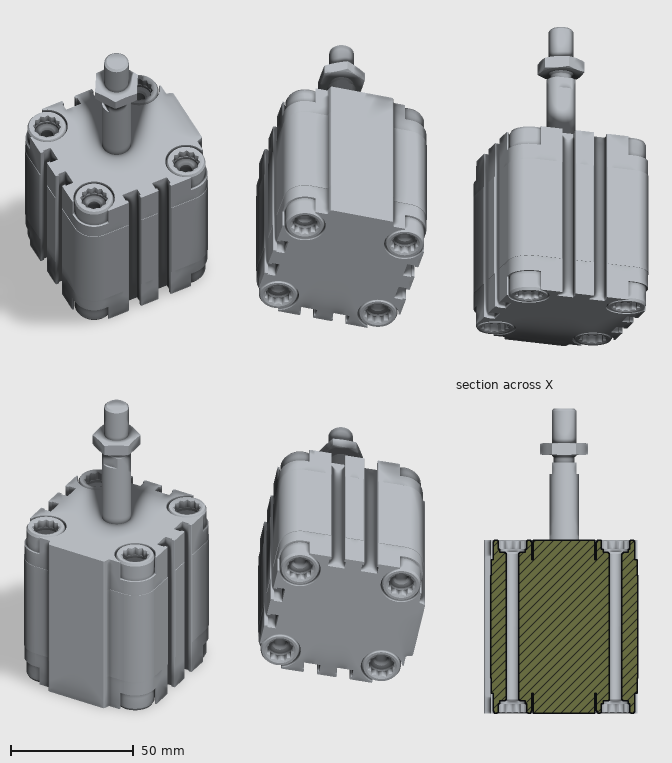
import cadquery as cq
import math


width = 60.0
half_width = width / 2
housing_height = 70.5
cap_height = 14.4
cap_inset = 0.2
screw_pitch = 42.0
corner_radius = half_width - screw_pitch / 2

pad_height = 2.5
pad_top_half_width = 13.1
pad_base_half_width = 13.9
pad_edge_round = 0.8
pad_base_round = 0.6

slot_offset = 6.8
slot_depth = 5.0
slot_width = 6.8
lip_thickness = 1.65
throat_width = 5.5
mouth_width = 6.3
mouth_chamfer = (mouth_width - throat_width) / 2

recess_depth = 8.0
recess_radius = 8.42
recess_opening = 2.15
head_radius = 7.95
head_chamfer_width = 0.6
head_chamfer_height = 1.1
socket_rim_radius = 6.3
socket_point_radius = 5.75
socket_valley_radius = 5.05
socket_points = 12
socket_lead_in = 0.6
socket_spline_depth = 3.7
socket_depth = 4.9
thread_hole_diameter = 4.92
thread_countersink_diameter = 6.4

rod_radius = 6.0
rod_shoulder_z = 102.0
rod_flat_width = 10.0
rod_flat_length = 4.7
neck_radius = 4.325
thread_radius = 5.0
thread_start_z = 104.8
thread_run_out = 0.65
rod_tip_chamfer = 0.85
rod_end_z = 124.0
rod_bottom_z = housing_height - cap_height

nut_across_flats = 17.0
nut_bottom_z = 105.0
nut_height = 5.0
nut_face_diameter = 16.7
nut_chamfer_angle = 15.0


def outline(inset, height):
    """Block with rounded corners and the +Y pad, its plain sides moved in by `inset`."""
    side = width - 2 * inset
    block = (
        cq.Workplane("XY")
        .rect(side, side)
        .extrude(height)
        .edges("|Z")
        .fillet(corner_radius - inset)
    )
    pad = (
        cq.Workplane("XY")
        .moveTo(-pad_base_half_width, 0)
        .lineTo(-pad_base_half_width, half_width - inset)
        .lineTo(-pad_top_half_width, half_width + pad_height)
        .lineTo(pad_top_half_width, half_width + pad_height)
        .lineTo(pad_base_half_width, half_width - inset)
        .lineTo(pad_base_half_width, 0)
        .close()
        .extrude(height)
        .edges("|Z and >Y")
        .fillet(pad_edge_round)
    )
    base_y = half_width - inset
    base_edges = cq.selectors.BoxSelector(
        (-pad_base_half_width - pad_base_round, base_y - pad_base_round, 0),
        (pad_base_half_width + pad_base_round, base_y + pad_base_round, height),
    )
    return block.union(pad).edges("|Z").edges(base_edges).fillet(pad_base_round)


def slot_cutter():
    """Undercut slot in the -Y side, centred on X = 0, with a bevelled mouth."""
    face = -half_width
    lip = face + lip_thickness
    floor = face + slot_depth
    half_profile = [
        (mouth_width / 2, face),
        (throat_width / 2, face + mouth_chamfer),
        (throat_width / 2, lip),
        (slot_width / 2, lip),
        (slot_width / 2, floor),
    ]
    mirrored = [(-x, y) for x, y in reversed(half_profile)]
    return cq.Workplane("XY").polyline(half_profile + mirrored).close().extrude(housing_height)


def recess_cutter():
    """Round recess around the screw axis, open to the outer corner on the -X -Y side."""
    bottom = housing_height - recess_depth
    reach = half_width
    center = (recess_opening - reach) / 2
    round_part = cq.Workplane("XY", origin=(0, 0, bottom)).circle(recess_radius).extrude(recess_depth)
    corner_part = (
        cq.Workplane("XY", origin=(center, center, bottom))
        .rect(reach + recess_opening, reach + recess_opening)
        .extrude(recess_depth)
    )
    return round_part.union(corner_part)


def screw_head():
    """Solid screw head with a bevelled top edge, on the Z axis."""
    bottom = housing_height - recess_depth
    return (
        cq.Workplane("XZ")
        .moveTo(0, bottom)
        .lineTo(head_radius, bottom)
        .lineTo(head_radius, housing_height - head_chamfer_height)
        .lineTo(head_radius - head_chamfer_width, housing_height)
        .lineTo(0, housing_height)
        .close()
        .revolve(360, (0, 0, 0), (0, 1, 0))
    )


def socket_cutter():
    """Twelve-point socket with a conical lead-in and a countersunk thread hole at its floor."""
    floor = housing_height - socket_depth
    countersink = (thread_countersink_diameter - thread_hole_diameter) / 2
    hole_radius = thread_hole_diameter / 2
    bore = (
        cq.Workplane("XZ")
        .moveTo(0, housing_height)
        .lineTo(socket_rim_radius, housing_height)
        .lineTo(socket_valley_radius, housing_height - socket_lead_in)
        .lineTo(socket_valley_radius, floor)
        .lineTo(hole_radius + countersink, floor)
        .lineTo(hole_radius, floor - countersink)
        .lineTo(hole_radius, housing_height / 2)
        .lineTo(0, housing_height / 2)
        .close()
        .revolve(360, (0, 0, 0), (0, 1, 0))
    )
    star = []
    for i in range(2 * socket_points):
        radius = socket_point_radius if i % 2 == 0 else socket_valley_radius
        angle = math.pi * i / socket_points
        star.append((radius * math.cos(angle), radius * math.sin(angle)))
    spline = (
        cq.Workplane("XY", origin=(0, 0, housing_height - socket_spline_depth))
        .polyline(star)
        .close()
        .extrude(socket_spline_depth)
    )
    return bore.union(spline)


def at_corners(shape):
    """Copies of a top -X -Y corner shape at the four corners of both ends."""
    corner = shape.translate((-screw_pitch / 2, -screw_pitch / 2, 0))
    copies = []
    for quarter in range(4):
        top = corner.rotate((0, 0, 0), (0, 0, 1), 90 * quarter)
        bottom = top.mirror("XY", (0, 0, housing_height / 2))
        copies += [top, bottom]
    return copies


def make_housing():
    body = outline(cap_inset, housing_height)
    barrel = outline(0, housing_height - 2 * cap_height).translate((0, 0, cap_height))
    body = body.union(barrel)
    for side_angle in (0, 90, -90):
        for offset in (-slot_offset, slot_offset):
            slot = slot_cutter().translate((offset, 0, 0))
            body = body.cut(slot.rotate((0, 0, 0), (0, 0, 1), side_angle))
    for recess in at_corners(recess_cutter()):
        body = body.cut(recess)
    for head in at_corners(screw_head()):
        body = body.union(head)
    for socket in at_corners(socket_cutter()):
        body = body.cut(socket)
    rod_hole = (
        cq.Workplane("XY", origin=(0, 0, rod_bottom_z))
        .circle(rod_radius)
        .extrude(housing_height - rod_bottom_z)
    )
    return body.cut(rod_hole)


def make_rod():
    """Rod with a threaded end, an undercut neck and two wrench flats."""
    rod = (
        cq.Workplane("XZ")
        .moveTo(0, rod_bottom_z)
        .lineTo(rod_radius, rod_bottom_z)
        .lineTo(rod_radius, rod_shoulder_z)
        .lineTo(neck_radius, rod_shoulder_z)
        .lineTo(neck_radius, thread_start_z - thread_run_out)
        .lineTo(thread_radius, thread_start_z)
        .lineTo(thread_radius, rod_end_z - rod_tip_chamfer)
        .lineTo(thread_radius - rod_tip_chamfer, rod_end_z)
        .lineTo(0, rod_end_z)
        .close()
        .revolve(360, (0, 0, 0), (0, 1, 0))
    )
    for side in (-1, 1):
        flat = cq.Workplane("XY").box(2 * rod_radius, rod_radius, rod_flat_length)
        flat_y = side * (rod_flat_width + rod_radius) / 2
        rod = rod.cut(flat.translate((0, flat_y, rod_shoulder_z - rod_flat_length / 2)))
    return rod


def make_nut():
    """Hexagon nut with corners on the Y axis and bevelled corners on both faces."""
    corner_diameter = nut_across_flats / math.cos(math.pi / 6)
    circumradius = corner_diameter / 2
    face_radius = nut_face_diameter / 2
    bevel = (circumradius - face_radius) * math.tan(math.radians(nut_chamfer_angle))
    hexagon = (
        cq.Workplane("XY")
        .polygon(6, corner_diameter)
        .extrude(nut_height)
        .rotate((0, 0, 0), (0, 0, 1), 90)
    )
    envelope = (
        cq.Workplane("XZ")
        .moveTo(0, 0)
        .lineTo(face_radius, 0)
        .lineTo(circumradius, bevel)
        .lineTo(circumradius, nut_height - bevel)
        .lineTo(face_radius, nut_height)
        .lineTo(0, nut_height)
        .close()
        .revolve(360, (0, 0, 0), (0, 1, 0))
    )
    hole = cq.Workplane("XY").circle(thread_radius).extrude(nut_height)
    return hexagon.intersect(envelope).cut(hole).translate((0, 0, nut_bottom_z))


housing = make_housing()
rod = make_rod()
nut = make_nut()

result = cq.Compound.makeCompound([housing.val(), rod.val(), nut.val()])